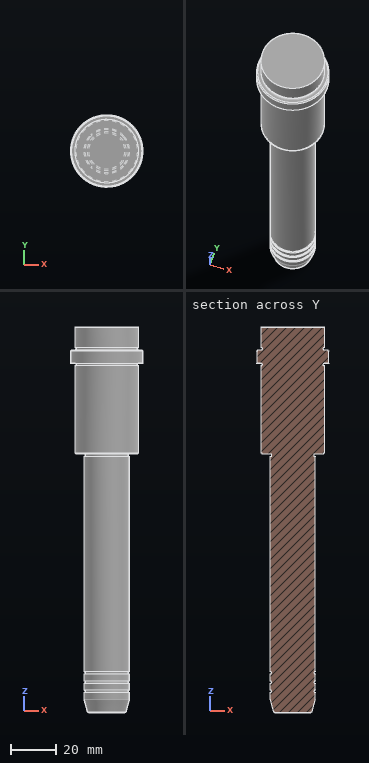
import cadquery as cq
import math

total_length = 170.0
head_length = 56.0
head_bottom = total_length - head_length

head_radius = 28.0 / 2
collar_radius = 32.0 / 2
shank_radius = 20.0 / 2

collar_height = 6.0
collar_top = total_length - 10.0
collar_bottom = collar_top - collar_height
collar_chamfer = 0.5

undercut_width = 1.0
undercut_depth = 0.5
head_bottom_chamfer = 0.5

groove_count = 3
groove_pitch = 4.0
lowest_groove_center = 9.5
groove_radius = 0.5

taper_height = 6.0
taper_angle = 15.0
tip_radius = shank_radius - taper_height * math.tan(math.radians(taper_angle))
tip_chamfer = 0.5


def cylinder(radius, bottom, top):
    return cq.Workplane("XY").workplane(offset=bottom).circle(radius).extrude(top - bottom)


def ring_cut(radius, depth, bottom, width):
    """Ring that cuts a square groove into a cylinder of the given radius."""
    outer = cylinder(radius + depth, bottom, bottom + width)
    return outer.cut(cylinder(radius - depth, bottom, bottom + width))


def round_groove(radius, center_height, groove_radius):
    """Ring of circular section that cuts a half-round groove into a cylinder."""
    return (
        cq.Workplane("XZ")
        .center(radius, center_height)
        .circle(groove_radius)
        .revolve(360, (-radius, 0), (-radius, 1))
    )


def make_shank():
    shank = cylinder(shank_radius, taper_height, head_bottom)
    tip = (
        cq.Workplane("XY")
        .circle(tip_radius)
        .workplane(offset=taper_height)
        .circle(shank_radius)
        .loft(ruled=True)
        .faces("<Z")
        .chamfer(tip_chamfer)
    )
    shank = shank.union(tip)
    for index in range(groove_count):
        groove_center = lowest_groove_center + index * groove_pitch
        shank = shank.cut(round_groove(shank_radius, groove_center, groove_radius))
    return shank.cut(
        ring_cut(shank_radius, undercut_depth, head_bottom - undercut_width, undercut_width)
    )


def make_head():
    head = cylinder(head_radius, head_bottom, total_length)
    head = head.faces("<Z").chamfer(head_bottom_chamfer)
    for undercut_center in (collar_top + undercut_width / 2, collar_bottom - undercut_width / 2):
        head = head.cut(round_groove(head_radius, undercut_center, undercut_width / 2))
    collar = cylinder(collar_radius, collar_bottom, collar_top)
    return head.union(collar.faces(">Z").chamfer(collar_chamfer))


result = make_shank().union(make_head())